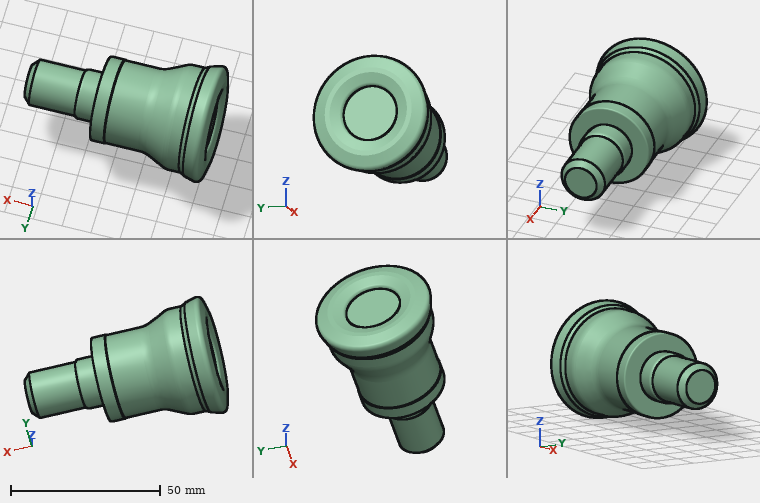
import cadquery as cq
import math


overall_length = 65.0
collar_start = 34.85
collar_end = 40.0

head_radius = 19.95
face_outer_radius = 15.3
face_inner_radius = 13.6
rim_slope = math.radians(15)
rim_round = 1.55
rim_cone_end = 6.3
groove_end = 8.0
groove_sag = 0.1

grip_radius = 18.1
sleeve_radius = 14.3
shoulder_start = 11.95
waist_slope = math.radians(25)
shoulder_round = 5.0
waist_round = 7.8

dish_radius = 10.3
core_radius = 9.35

dish_depth = (face_inner_radius - dish_radius) * math.tan(rim_slope)
lip_round = (dish_radius - core_radius) / (1 - math.sin(rim_slope))
core_start = dish_depth + lip_round * math.cos(rim_slope)

collar_radius = 14.5
collar_front_chamfer = 0.2
collar_back_round = 0.5
root_radius = 8.29
root_end = 40.25
land_radius = 8.5
land_start = 41.1
land_end = 45.8
land_round_end = 47.0
pin_radius = 7.85
tip_chamfer = 2.15


def arc_point(center, radius, angle):
    """Point on a circle, with the angle measured from the radial direction toward +X."""
    return (center[0] + radius * math.sin(angle), center[1] + radius * math.cos(angle))


def midpoint_offset(start, end, offset):
    """Middle of a chord, moved to the left of its direction by offset."""
    dx = end[0] - start[0]
    dr = end[1] - start[1]
    chord = math.hypot(dx, dr)
    middle_x = (start[0] + end[0]) / 2 - offset * dr / chord
    middle_r = (start[1] + end[1]) / 2 + offset * dx / chord
    return (middle_x, middle_r)


def revolve_profile(profile):
    """Turn a closed profile about the X axis."""
    return profile.close().revolve(360, (0, 0, 0), (1, 0, 0))


def make_head():
    rim_tangent_radius = head_radius - rim_round + rim_round * math.sin(rim_slope)
    rim_tangent_x = (rim_tangent_radius - face_outer_radius) * math.tan(rim_slope)
    rim_center = (rim_tangent_x + rim_round * math.cos(rim_slope), head_radius - rim_round)
    rim_start = (rim_tangent_x, rim_tangent_radius)
    rim_end = arc_point(rim_center, rim_round, rim_slope)
    rim_middle = arc_point(rim_center, rim_round, rim_slope - math.pi / 4)

    back_cone_drop = (rim_cone_end - rim_end[0]) * math.tan(rim_slope)
    groove_start = (rim_cone_end, rim_end[1] - back_cone_drop)
    groove_finish = (groove_end, grip_radius)
    groove_middle = midpoint_offset(groove_start, groove_finish, -groove_sag)

    lip_center = (core_start, core_radius + lip_round)
    lip_middle = arc_point(lip_center, lip_round, math.pi * 5 / 4 - rim_slope / 2)

    profile = (
        cq.Workplane("XY")
        .moveTo(core_start, core_radius)
        .threePointArc(lip_middle, (dish_depth, dish_radius))
        .lineTo(0, face_inner_radius)
        .lineTo(0, face_outer_radius)
        .lineTo(*rim_start)
        .threePointArc(rim_middle, rim_end)
        .lineTo(*groove_start)
        .threePointArc(groove_middle, groove_finish)
        .lineTo(groove_end, core_radius)
    )
    return revolve_profile(profile)


def make_body():
    shoulder_center = (shoulder_start, grip_radius - shoulder_round)
    shoulder_end = arc_point(shoulder_center, shoulder_round, waist_slope)
    shoulder_middle = arc_point(shoulder_center, shoulder_round, waist_slope / 2)
    waist_start_radius = sleeve_radius + waist_round * (1 - math.cos(waist_slope))
    waist_start_x = shoulder_end[0] + (shoulder_end[1] - waist_start_radius) / math.tan(waist_slope)
    waist_end_x = waist_start_x + waist_round * math.sin(waist_slope)
    waist_center = (waist_end_x, sleeve_radius + waist_round)
    waist_middle = arc_point(waist_center, waist_round, math.pi + waist_slope / 2)

    round_center = (collar_end - collar_back_round, collar_radius - collar_back_round)
    round_middle = arc_point(round_center, collar_back_round, math.pi / 4)

    round_length = land_round_end - land_end
    land_drop = land_radius - pin_radius
    land_round = (round_length**2 + land_drop**2) / (2 * land_drop)
    land_sweep = math.asin(round_length / land_round)
    land_middle = arc_point((land_end, land_radius - land_round), land_round, land_sweep / 2)

    profile = (
        cq.Workplane("XY")
        .moveTo(core_start, 0)
        .lineTo(core_start, core_radius)
        .lineTo(groove_end, core_radius)
        .lineTo(groove_end, grip_radius)
        .lineTo(shoulder_start, grip_radius)
        .threePointArc(shoulder_middle, shoulder_end)
        .lineTo(waist_start_x, waist_start_radius)
        .threePointArc(waist_middle, (waist_end_x, sleeve_radius))
        .lineTo(collar_start, sleeve_radius)
        .lineTo(collar_start + collar_front_chamfer, collar_radius)
        .lineTo(round_center[0], collar_radius)
        .threePointArc(round_middle, (collar_end, round_center[1]))
        .lineTo(collar_end, root_radius)
        .lineTo(root_end, root_radius)
        .lineTo(land_start, land_radius)
        .lineTo(land_end, land_radius)
        .threePointArc(land_middle, (land_round_end, pin_radius))
        .lineTo(overall_length - tip_chamfer, pin_radius)
        .lineTo(overall_length, pin_radius - tip_chamfer)
        .lineTo(overall_length, 0)
    )
    return revolve_profile(profile)


head = make_head()
body = make_body()

result = cq.Compound.makeCompound([head.val(), body.val()])